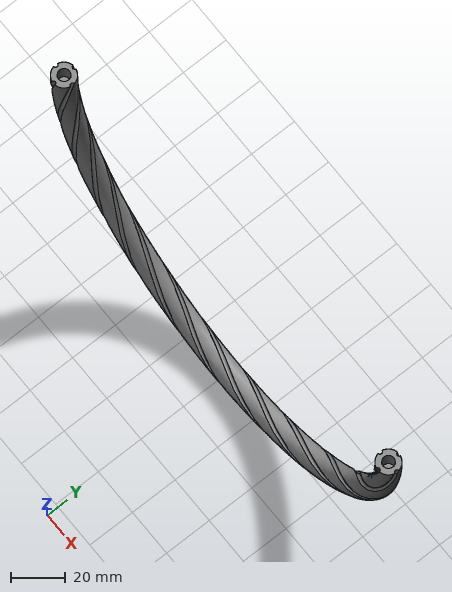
import cadquery as cq
import math

overall_width = 200.0
overall_height = 130.0
tube_radius = 5.0

hole_diameter = 5.0
hole_depth = 10.0

groove_count = 4
groove_radius = 0.9
half_twist = 540.0
guide_points = 121

half_span = overall_width / 2 - tube_radius
drop = overall_height - tube_radius


def centreline_point(angle):
    """Point of the centreline at an ellipse angle, with pi / 2 at the bottom."""
    return cq.Vector(-half_span * math.cos(angle), 0, -drop * math.sin(angle))


def inward_direction(angle):
    """Unit normal of the centreline, pointing to the inside of the bend."""
    return cq.Vector(drop * math.cos(angle), 0, half_span * math.sin(angle)).normalized()


def guide_point(angle):
    """Point on the tube's surface that turns around the centreline with the grooves."""
    twist = math.radians(half_twist) * (1 - angle / (math.pi / 2))
    inward = inward_direction(angle) * math.cos(twist)
    sideways = cq.Vector(0, 1, 0) * math.sin(twist)
    return centreline_point(angle) + (inward + sideways) * tube_radius


def centreline():
    """Half-ellipse wire from the left end, through the bottom, to the right end."""
    half_ellipse = cq.Edge.makeEllipse(
        drop,
        half_span,
        dir=cq.Vector(0, -1, 0),
        xdir=cq.Vector(0, 0, -1),
        angle1=-90.0,
        angle2=90.0,
    )
    return cq.Workplane("XY").add(cq.Wire.assembleEdges([half_ellipse]))


def spiral_guide():
    """Curve that steers the twist of the section along the centreline."""
    step = math.pi / (guide_points - 1)
    points = [guide_point(index * step) for index in range(guide_points)]
    return cq.Workplane("XY").spline(points)


def grooved_section():
    """Round section at the left end, notched by the grooves."""
    return (
        cq.Sketch()
        .circle(tube_radius)
        .parray(tube_radius, half_twist, 360, groove_count)
        .circle(groove_radius, mode="s")
        .reset()
    )


def grooved_bar():
    """Solid bar made by sweeping the notched section with a steady twist."""
    left_end = cq.Workplane("XY").center(-half_span, 0)
    return left_end.placeSketch(grooved_section()).sweep(centreline(), auxSpine=spiral_guide())


def end_holes():
    """Straight, flat-bottomed holes going down from both end faces."""
    end_centres = [(-half_span, 0), (half_span, 0)]
    return cq.Workplane("XY").pushPoints(end_centres).circle(hole_diameter / 2).extrude(-hole_depth)


result = grooved_bar().cut(end_holes())